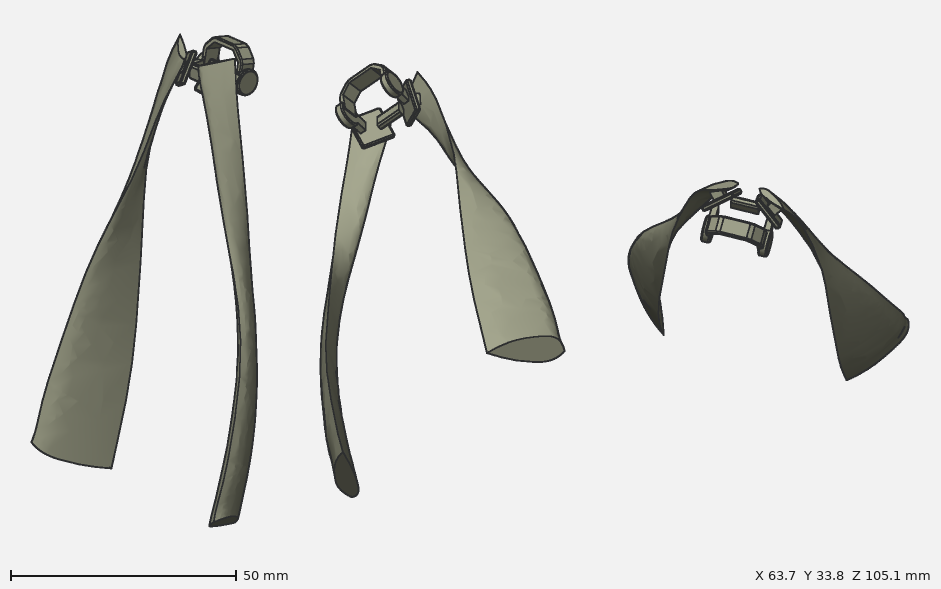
import cadquery as cq
import math

HEIGHT = 105.1

BLADE_STATIONS = [
    (-21.0, -2.1, 0, -31.1, -16.9, 5.0, 0.71),
    (-21.0, 0.9, 10.5, -30.9, -14.6, 4.6, 0.35),
    (-20.8, 3.3, 21, -30.7, -12.3, 4.2, 0),
    (-20.1, 4.7, 36.8, -28.6, -7.4, 3.5, 0),
    (-18.8, 4.8, 52.6, -24.2, -3.7, 2.9, 0),
    (-17.6, 4.8, 68.3, -16.7, -1.2, 2.3, 0),
    (-15.1, 5.3, 84.1, -10.3, 0.7, 2.0, 0),
    (-12.8, 5.9, 94.6, -5.9, 2.0, 1.8, 0),
    (-9.4, 8.0, HEIGHT, -2.4, 3.3, 1.7, 0.38),
]
OUTER_SHARE = 0.6
OUTER_PROFILE = [(0.3, 0.75), (0.6, 1.0), (0.86, 0.85)]
INNER_PROFILE = [(0.86, 0.85), (0.6, 1.0), (0.3, 0.65)]

PLATE_BACK = cq.Vector(-8.9, 11.2, 99.7)
PLATE_TOP = cq.Vector(-2.8, 7.4, 103)
PLATE_INNER = cq.Vector(-1.2, 2.4, 97.0)
PLATE_THICK = 1.3
PAD_INSET = 2.6
PAD_LENGTH = 2.0

DRUM_DIA = 6.0
DRUM_Y = 13.5
DRUM_Z = 97.2
DRUM_OUTER_X = 7.6
DRUM_INNER_X = 5.6
BAND_WIDTH = 4.0
BAND_THICK = 1.3
BAND_HALF = 6.6
BAND_FACET = 2.9
BAND_BEVEL = 0.6
BAND_TILT = 11.0
EDGE_CHAMFER = 0.3
BAND_LEAN = math.radians(BAND_TILT)
BAND_TOP_EDGE = BAND_WIDTH / 2 - EDGE_CHAMFER
BAND_RISE = (HEIGHT - DRUM_Z - BAND_TOP_EDGE * math.sin(BAND_LEAN)) / math.cos(BAND_LEAN)
ARM_HEIGHT = 2.9
ARM_SETBACK = 0.5
ARM_BOTTOM = 96.2
ARM_FRONT_Y = 8.2
BAR_HALF = 3.2
BAR_Y = 6.3
BAR_Z = 98.7
BAR_DEPTH = 1.7
BAR_HEIGHT = 3.6
BAR_CHAMFER = 0.4


def blade_section(back_x, back_y, back_z, front_x, front_y, thickness, fall):
    """Airfoil wire in a plane that drops by `fall` per unit of X."""
    chord_x = front_x - back_x
    chord_y = front_y - back_y
    chord = math.hypot(chord_x, chord_y)

    def point(along, bulge):
        x = back_x + chord_x * along + bulge * chord_y / chord
        y = back_y + chord_y * along - bulge * chord_x / chord
        return cq.Vector(x, y, back_z - fall * (x - back_x))

    outer_bulge = thickness * OUTER_SHARE
    inner_bulge = outer_bulge - thickness
    back = point(0, 0)
    front = point(1, 0)
    outer = [point(along, outer_bulge * share) for along, share in OUTER_PROFILE]
    inner = [point(along, inner_bulge * share) for along, share in INNER_PROFILE]
    outer_edge = cq.Edge.makeSpline([back] + outer + [front])
    inner_edge = cq.Edge.makeSpline([front] + inner + [back])
    return cq.Wire.assembleEdges([outer_edge, inner_edge])


def make_blade():
    sections = [blade_section(*station) for station in BLADE_STATIONS]
    return cq.Workplane(obj=cq.Solid.makeLoft(sections))


def make_plate():
    along = PLATE_TOP - PLATE_BACK
    down = PLATE_INNER - PLATE_TOP
    centre = (PLATE_BACK + PLATE_INNER) * 0.5
    frame = cq.Plane(origin=centre, xDir=along, normal=down.cross(along))
    plate = cq.Workplane(frame).rect(along.Length, down.Length).extrude(PLATE_THICK)
    plate = plate.edges().chamfer(EDGE_CHAMFER)
    pad = cq.Workplane(frame).rect(along.Length - 2 * PAD_INSET, down.Length - 2 * PAD_INSET)
    return plate.union(pad.extrude(PLATE_THICK + PAD_LENGTH))


def make_drum_and_arm():
    width = DRUM_OUTER_X - DRUM_INNER_X
    drum = (
        cq.Workplane("YZ", origin=(-DRUM_OUTER_X, DRUM_Y, DRUM_Z))
        .circle(DRUM_DIA / 2)
        .extrude(width)
        .edges()
        .chamfer(EDGE_CHAMFER)
    )
    arm_size = (width - ARM_SETBACK, DRUM_Y - ARM_FRONT_Y, ARM_HEIGHT)
    arm = cq.Workplane("XY").box(*arm_size, centered=False)
    return drum.union(arm.translate((ARM_SETBACK - DRUM_OUTER_X, ARM_FRONT_Y, ARM_BOTTOM)))


def band_outline(inset):
    half_width = BAND_HALF - inset
    rise = BAND_RISE - inset
    facet = BAND_FACET - inset * (2 - math.sqrt(2))
    return [
        (-half_width, 0),
        (-half_width, rise - facet),
        (-half_width + facet, rise),
        (half_width - facet, rise),
        (half_width, rise - facet),
        (half_width, 0),
    ]


def make_band():
    outside = cq.Workplane("XZ").polyline(band_outline(0)).close().extrude(BAND_WIDTH / 2, both=True)
    outside = outside.edges("|Y").edges("not <Z").chamfer(BAND_BEVEL)
    outside = outside.faces("<Y or >Y").edges("not <Z").chamfer(EDGE_CHAMFER)
    inside = cq.Workplane("XZ").polyline(band_outline(BAND_THICK)).close().extrude(BAND_WIDTH, both=True)
    band = outside.cut(inside).rotate((0, 0, 0), (1, 0, 0), -BAND_TILT)
    return band.translate((0, DRUM_Y, DRUM_Z))


def make_cross_bar():
    bar = cq.Workplane("XY").box(2 * BAR_HALF, BAR_DEPTH, BAR_HEIGHT)
    return bar.edges("|X").chamfer(BAR_CHAMFER).translate((0, BAR_Y, BAR_Z))


left_side = make_blade().union(make_plate()).union(make_drum_and_arm())
result = left_side.union(left_side.mirror("YZ")).union(make_cross_bar()).union(make_band())